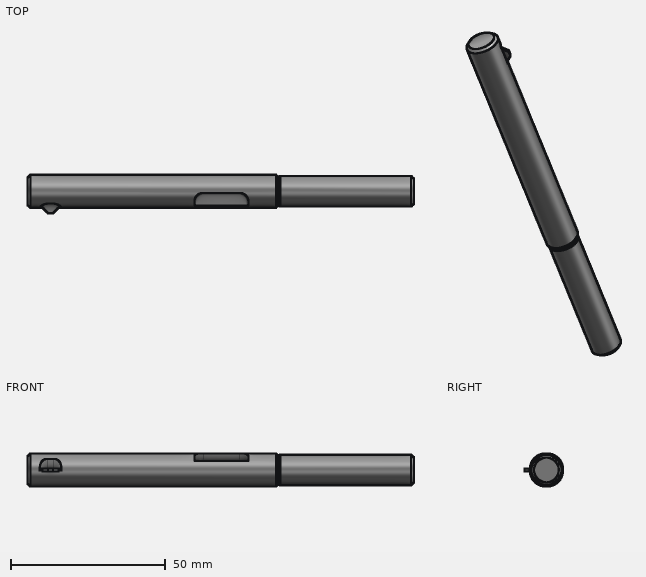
import cadquery as cq
total_length = 125.0
body_diameter = 10.8
tail_diameter = 10.0
neck_diameter = 9.6
neck_start_x = 80.7
neck_end_x = 81.3
tail_start_x = 81.75
end_chamfer = 1.0
body_radius = body_diameter / 2
tail_radius = tail_diameter / 2
neck_radius = neck_diameter / 2
body_end_x = neck_start_x - (body_radius - tail_radius)

window_center_x = 7.5
window_flat = 1.9
window_corner_radius = 3.1
window_back_y = -4.0
window_floor_z = -0.15

blade_thickness = 1.0
blade_tip_y = -7.14
blade_tip_width = 1.6

slot_center_x = 62.7
slot_flat = 11.6
slot_corner_radius = 2.95
slot_back_y = -0.5
slot_floor_z = 2.9
slot_floor_fillet = 0.4


def make_barrel():
    """Revolve the half profile around the X axis."""
    profile = (
        cq.Workplane("XY")
        .lineTo(0, body_radius - end_chamfer)
        .lineTo(end_chamfer, body_radius)
        .lineTo(body_end_x, body_radius)
        .lineTo(neck_start_x, tail_radius)
        .lineTo(neck_start_x, neck_radius)
        .lineTo(neck_end_x, neck_radius)
        .lineTo(tail_start_x, tail_radius)
        .lineTo(total_length - end_chamfer, tail_radius)
        .lineTo(total_length, tail_radius - end_chamfer)
        .lineTo(total_length, 0)
        .close()
    )
    return profile.revolve(360, (0, 0, 0), (1, 0, 0))


def make_side_cut(center_x, flat, corner_radius, back_y, floor_z):
    """Cutter open to -Y and +Z, with its two back corners rounded."""
    front_y = -body_diameter
    length = flat + 2 * corner_radius
    cutter = cq.Workplane("XY").box(length, back_y - front_y, body_diameter, centered=(True, False, False))
    cutter = cutter.edges("|Z and >Y").fillet(corner_radius)
    return cutter.translate((center_x, front_y, floor_z))


def make_blade_window():
    return make_side_cut(window_center_x, window_flat, window_corner_radius, window_back_y, window_floor_z)


def make_thumb_slot():
    """Side cut with a small fillet where its walls meet the floor."""
    slot = make_side_cut(slot_center_x, slot_flat, slot_corner_radius, slot_back_y, slot_floor_z)
    return slot.faces(">Y").edges("<Z").fillet(slot_floor_fillet)


def make_blade():
    """Trapezoid in the XY plane, rooted in the back wall of the window."""
    tip_half = blade_tip_width / 2
    root_half = tip_half + (window_back_y - blade_tip_y)
    outline = [
        (-root_half, window_back_y),
        (-tip_half, blade_tip_y),
        (tip_half, blade_tip_y),
        (root_half, window_back_y),
    ]
    blade = cq.Workplane("XY").polyline(outline).close().extrude(blade_thickness / 2, both=True)
    return blade.translate((window_center_x, 0, 0))


result = make_barrel().cut(make_thumb_slot()).cut(make_blade_window()).union(make_blade())